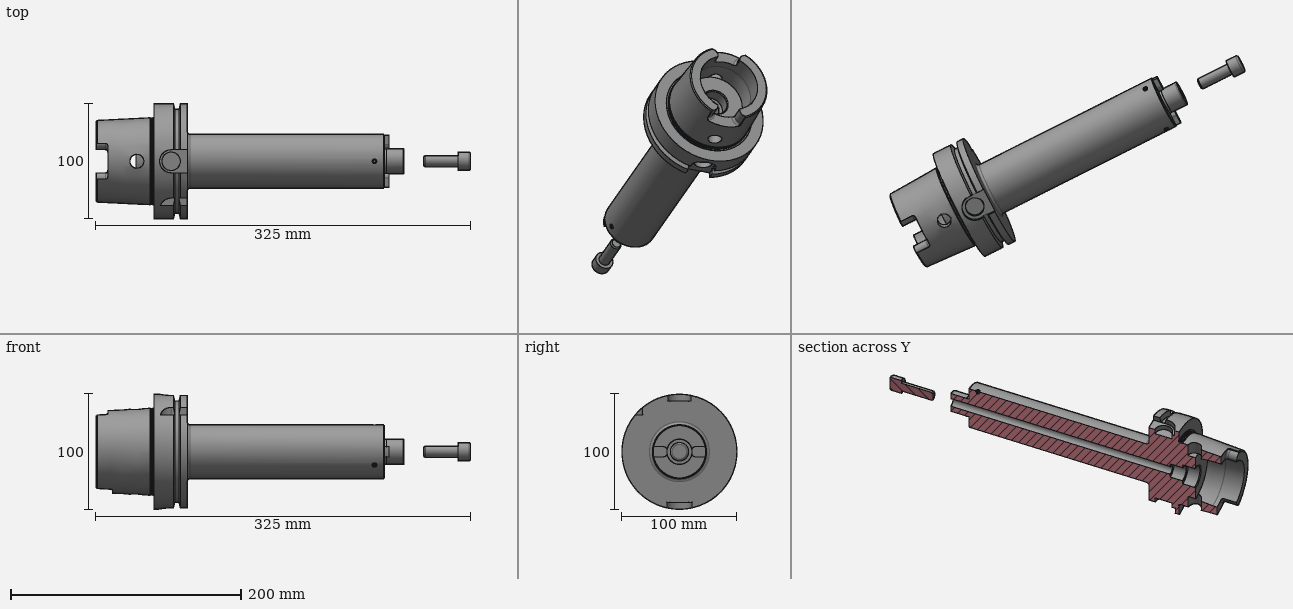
import cadquery as cq
import math


SHANK_LENGTH = 50.0
TAPER_ROOT_RADIUS = 38.0
TAPER_RATIO = 1 / 20
SHANK_END_CHAMFER = 1.0
RELIEF_START = -3.4
RELIEF_END = -0.6
RELIEF_DEPTH = 0.3
RELIEF_RAMP = 0.8

MOUTH_RADIUS = 26.5
MOUTH_DEPTH = 18.0
CAVITY_FLOOR_RADIUS = 25.0
CAVITY_FLOOR = -15.5
COLLAR_RADIUS = 24.0 / 2
COLLAR_BORE_RADIUS = 22.23 / 2
COLLAR_DEPTH = 12.0
COOLANT_STEP_RADIUS = 16.0 / 2
COOLANT_BORE_RADIUS = 15.3 / 2
COOLANT_STEP_DEPTH = 12.0
CENTRE_HOLE_RADIUS = 8.7 / 2

DRIVE_SLOT_WIDTH = 20.0
DRIVE_SLOT_DEPTHS = {1: 10.0, -1: 14.0}
DRIVE_SLOT_CORNER = 2.0
DRIVE_LIP_HEIGHT = 25.5
DRIVE_LIP_RADIUS = 5.5

ACCESS_HOLE_RADIUS = 12.0 / 2
ACCESS_HOLE_X = -14.7

FLANGE_RADIUS = 50.0
FLANGE_LENGTH = 29.0
FACE_RECESS_RADIUS = 39.5
FACE_RECESS_DEPTH = 0.4
GROOVE_CENTRE = 20.0
GROOVE_TOP_WIDTH = 6.0
GROOVE_FLOOR_WIDTH = 3.6
GROOVE_FLOOR_RADIUS = 45.2

POCKET_CENTRE_X = 15.0
KEYWAY_WIDTHS = {1: 20.0, -1: 22.0}
KEYWAY_FLOOR = 44.0
KEYWAY_HOLE_RADIUS = 16.0 / 2
KEYWAY_HOLE_DEPTH = 5.0
NOTCH_WALL_Y = -32.0
NOTCH_FLOOR_Z = 32.0
NOTCH_WIDTH = 20.0

ARBOR_RADIUS = 47.0 / 2
ARBOR_END = 200.0
ARBOR_CHAMFER = 0.8
ARBOR_ROOT_FILLET = 2.5
SPIGOT_RADIUS = 22.0 / 2
SPIGOT_LENGTH = 17.0
SPIGOT_CHAMFER_LENGTH = 1.2
SPIGOT_CHAMFER_DEPTH = 0.15
SPIGOT_RELIEF_RADIUS = 21.82 / 2
SPIGOT_RELIEF_LENGTH = 2.0
DRIVE_KEY_WIDTH = 9.0
DRIVE_KEY_HEIGHT = 4.3
DRIVE_KEY_ARC_CENTRE = 14.5

SET_SCREW_COUNT = 3
SET_SCREW_X = 191.5
SET_SCREW_RADIUS = 4.0 / 2
SET_SCREW_RECESS = 1.0
SET_SCREW_SOCKET_CORNERS = 2.31
SET_SCREW_SOCKET_DEPTH = 2.0

SCREW_TIP = 234.0
SCREW_RADIUS = 10.0 / 2
SCREW_SHANK_LENGTH = 30.0
SCREW_TIP_CHAMFER = 1.2
SCREW_HEAD_RADIUS = 16.0 / 2
SCREW_HEAD_LENGTH = 11.0
SCREW_HEAD_ROUNDING = 1.6


def revolve_about_x(profile):
    return profile.close().revolve(360, (0, 0, 0), (1, 0, 0))


def cylinder_x(start, end, radius):
    return cq.Workplane("YZ", origin=(start, 0, 0)).circle(radius).extrude(end - start)


def taper_radius(x):
    return TAPER_ROOT_RADIUS + TAPER_RATIO * x


def holder_blank():
    groove_left_top = GROOVE_CENTRE - GROOVE_TOP_WIDTH / 2
    groove_left_floor = GROOVE_CENTRE - GROOVE_FLOOR_WIDTH / 2
    groove_right_floor = GROOVE_CENTRE + GROOVE_FLOOR_WIDTH / 2
    groove_right_top = GROOVE_CENTRE + GROOVE_TOP_WIDTH / 2
    chamfer_x = -SHANK_LENGTH + SHANK_END_CHAMFER
    relief_radius = taper_radius(RELIEF_START) - RELIEF_DEPTH
    fillet_radius = ARBOR_RADIUS + ARBOR_ROOT_FILLET
    fillet_end = FLANGE_LENGTH + ARBOR_ROOT_FILLET
    fillet_mid = ARBOR_ROOT_FILLET * (1 - math.sqrt(0.5))
    relief_end = ARBOR_END + SPIGOT_RELIEF_LENGTH
    spigot_end = ARBOR_END + SPIGOT_LENGTH
    profile = (
        cq.Workplane("XY")
        .moveTo(-SHANK_LENGTH, 0)
        .lineTo(-SHANK_LENGTH, taper_radius(chamfer_x) - SHANK_END_CHAMFER)
        .lineTo(chamfer_x, taper_radius(chamfer_x))
        .lineTo(RELIEF_START, taper_radius(RELIEF_START))
        .lineTo(RELIEF_START + RELIEF_RAMP, relief_radius)
        .lineTo(RELIEF_END - RELIEF_RAMP, relief_radius)
        .lineTo(RELIEF_END, TAPER_ROOT_RADIUS)
        .lineTo(FACE_RECESS_DEPTH, TAPER_ROOT_RADIUS)
        .lineTo(FACE_RECESS_DEPTH, FACE_RECESS_RADIUS)
        .lineTo(0, FACE_RECESS_RADIUS)
        .lineTo(0, FLANGE_RADIUS)
        .lineTo(groove_left_top, FLANGE_RADIUS)
        .lineTo(groove_left_floor, GROOVE_FLOOR_RADIUS)
        .lineTo(groove_right_floor, GROOVE_FLOOR_RADIUS)
        .lineTo(groove_right_top, FLANGE_RADIUS)
        .lineTo(FLANGE_LENGTH, FLANGE_RADIUS)
        .lineTo(FLANGE_LENGTH, fillet_radius)
        .threePointArc(
            (FLANGE_LENGTH + fillet_mid, ARBOR_RADIUS + fillet_mid),
            (fillet_end, ARBOR_RADIUS),
        )
        .lineTo(ARBOR_END - ARBOR_CHAMFER, ARBOR_RADIUS)
        .lineTo(ARBOR_END, ARBOR_RADIUS - ARBOR_CHAMFER)
        .lineTo(ARBOR_END, SPIGOT_RELIEF_RADIUS)
        .lineTo(relief_end, SPIGOT_RELIEF_RADIUS)
        .lineTo(relief_end, SPIGOT_RADIUS)
        .lineTo(spigot_end - SPIGOT_CHAMFER_LENGTH, SPIGOT_RADIUS)
        .lineTo(spigot_end, SPIGOT_RADIUS - SPIGOT_CHAMFER_DEPTH)
        .lineTo(spigot_end, 0)
    )
    return revolve_about_x(profile)


def shank_cavity():
    mouth_end = -SHANK_LENGTH + MOUTH_DEPTH
    collar_end = CAVITY_FLOOR + COLLAR_DEPTH
    step_end = collar_end + COOLANT_STEP_DEPTH
    profile = (
        cq.Workplane("XY")
        .moveTo(-SHANK_LENGTH, 0)
        .lineTo(-SHANK_LENGTH, MOUTH_RADIUS)
        .lineTo(mouth_end, MOUTH_RADIUS)
        .lineTo(CAVITY_FLOOR, CAVITY_FLOOR_RADIUS)
        .lineTo(CAVITY_FLOOR, COLLAR_RADIUS)
        .lineTo(CAVITY_FLOOR + COLLAR_RADIUS - COLLAR_BORE_RADIUS, COLLAR_BORE_RADIUS)
        .lineTo(collar_end, COLLAR_BORE_RADIUS)
        .lineTo(collar_end, COOLANT_STEP_RADIUS)
        .lineTo(collar_end + COOLANT_STEP_RADIUS - COOLANT_BORE_RADIUS, COOLANT_BORE_RADIUS)
        .lineTo(step_end, COOLANT_BORE_RADIUS)
        .lineTo(step_end, CENTRE_HOLE_RADIUS)
        .lineTo(ARBOR_END + SPIGOT_LENGTH, CENTRE_HOLE_RADIUS)
        .lineTo(ARBOR_END + SPIGOT_LENGTH, 0)
    )
    return revolve_about_x(profile)


def drive_slot(side):
    """Slot in the shank mouth whose side walls round outwards into wider lips."""
    half_width = DRIVE_SLOT_WIDTH / 2
    lip_half = half_width + DRIVE_LIP_RADIUS
    lip_top = DRIVE_LIP_HEIGHT + DRIVE_LIP_RADIUS
    bulge = DRIVE_LIP_RADIUS * math.sqrt(0.5)
    slot = (
        cq.Workplane("YZ", origin=(-SHANK_LENGTH, 0, 0))
        .moveTo(-half_width, 0)
        .lineTo(-half_width, DRIVE_LIP_HEIGHT)
        .threePointArc((-lip_half + bulge, DRIVE_LIP_HEIGHT + bulge), (-lip_half, lip_top))
        .lineTo(-lip_half, FLANGE_RADIUS)
        .lineTo(lip_half, FLANGE_RADIUS)
        .lineTo(lip_half, lip_top)
        .threePointArc((lip_half - bulge, DRIVE_LIP_HEIGHT + bulge), (half_width, DRIVE_LIP_HEIGHT))
        .lineTo(half_width, 0)
        .close()
        .extrude(DRIVE_SLOT_DEPTHS[side])
        .faces(">X")
        .edges()
        .fillet(DRIVE_SLOT_CORNER)
    )
    if side < 0:
        slot = slot.rotate((0, 0, 0), (1, 0, 0), 180)
    return slot


def access_hole():
    return (
        cq.Workplane("XY", origin=(ACCESS_HOLE_X, 0, -FLANGE_RADIUS))
        .circle(ACCESS_HOLE_RADIUS)
        .extrude(2 * FLANGE_RADIUS)
        .cut(cylinder_x(-SHANK_LENGTH, FLANGE_LENGTH, CAVITY_FLOOR_RADIUS))
    )


def rim_pocket(centre_y, floor_z, width):
    """Round-ended pocket that runs out through the back of the flange, open upwards."""
    run_out = FLANGE_LENGTH - POCKET_CENTRE_X
    straight = (
        cq.Workplane("XY", origin=(POCKET_CENTRE_X + run_out / 2, centre_y, floor_z))
        .rect(run_out, width)
        .extrude(FLANGE_RADIUS)
    )
    round_end = (
        cq.Workplane("XY", origin=(POCKET_CENTRE_X, centre_y, floor_z))
        .circle(width / 2)
        .extrude(FLANGE_RADIUS)
    )
    return straight.union(round_end)


def keyway(side):
    pocket = rim_pocket(0, KEYWAY_FLOOR, KEYWAY_WIDTHS[side]).union(
        cq.Workplane("XY", origin=(POCKET_CENTRE_X, 0, KEYWAY_FLOOR - KEYWAY_HOLE_DEPTH))
        .circle(KEYWAY_HOLE_RADIUS)
        .extrude(KEYWAY_HOLE_DEPTH)
    )
    if side < 0:
        pocket = pocket.rotate((0, 0, 0), (1, 0, 0), 180)
    return pocket


def drive_keys():
    """Pair of face keys, each with a round inner end, trimmed to the arbor's end face."""
    length = ARBOR_RADIUS - DRIVE_KEY_ARC_CENTRE
    envelope = cylinder_x(ARBOR_END, ARBOR_END + DRIVE_KEY_HEIGHT, ARBOR_RADIUS - ARBOR_CHAMFER)
    keys = cq.Workplane("YZ", origin=(ARBOR_END, 0, 0))
    for side in (1, -1):
        keys = keys.union(
            cq.Workplane("YZ", origin=(ARBOR_END, side * DRIVE_KEY_ARC_CENTRE, 0))
            .circle(DRIVE_KEY_WIDTH / 2)
            .extrude(DRIVE_KEY_HEIGHT)
        )
        keys = keys.union(
            cq.Workplane("YZ", origin=(ARBOR_END, side * (DRIVE_KEY_ARC_CENTRE + length / 2), 0))
            .rect(length, DRIVE_KEY_WIDTH)
            .extrude(DRIVE_KEY_HEIGHT)
        )
    return keys.intersect(envelope)


def set_screw_recess(angle):
    seat = ARBOR_RADIUS - SET_SCREW_RECESS
    recess = (
        cq.Workplane("XY", origin=(SET_SCREW_X, 0, seat))
        .circle(SET_SCREW_RADIUS)
        .extrude(2 * SET_SCREW_RECESS)
        .union(
            cq.Workplane("XY", origin=(SET_SCREW_X, 0, seat - SET_SCREW_SOCKET_DEPTH))
            .polygon(6, SET_SCREW_SOCKET_CORNERS)
            .extrude(SET_SCREW_SOCKET_DEPTH)
        )
    )
    return recess.rotate((0, 0, 0), (1, 0, 0), angle)


def make_holder():
    holder = holder_blank().union(drive_keys()).cut(shank_cavity()).cut(access_hole())
    for side in (1, -1):
        holder = holder.cut(drive_slot(side)).cut(keyway(side))
    holder = holder.cut(rim_pocket(NOTCH_WALL_Y - NOTCH_WIDTH / 2, NOTCH_FLOOR_Z, NOTCH_WIDTH))
    for index in range(SET_SCREW_COUNT):
        holder = holder.cut(set_screw_recess(index * 360 / SET_SCREW_COUNT))
    return holder


def make_screw():
    head_start = SCREW_TIP + SCREW_SHANK_LENGTH
    shank = cylinder_x(SCREW_TIP, head_start, SCREW_RADIUS).faces("<X").chamfer(SCREW_TIP_CHAMFER)
    head = cylinder_x(head_start, head_start + SCREW_HEAD_LENGTH, SCREW_HEAD_RADIUS)
    head = head.faces(">X").edges().fillet(SCREW_HEAD_ROUNDING)
    return shank.union(head)


holder = make_holder()
screw = make_screw()

result = cq.Compound.makeCompound([holder.val(), screw.val()])